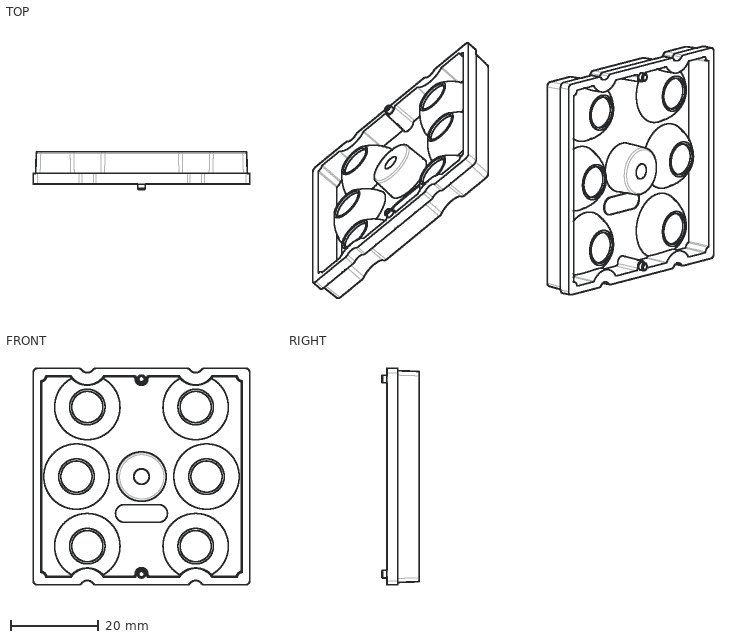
import cadquery as cq
import math

side = 49.8
flange_depth = 2.5
total_depth = 7.45
corner_radius = 1.0
draft = 2.0

body_side = 48.7
back_edge_radius = 0.35

wall = 1.75
floor_thickness = 1.5
pocket_depth = total_depth - floor_thickness
pocket_half = side / 2 - wall
pocket_corner_post_radius = 1.15
pocket_blend = 0.25

notch_x = 12.45
notch_z = 25.55
flange_notch_radius = 1.65
body_notch_radius = 3.5
pocket_notch_radius = 4.5
flange_notch_blend = 0.8
body_notch_blend = 1.0

pin_z = 22.4
pin_radius = 0.9
pin_height = 1.25
pin_chamfer = 0.25
post_radius = 1.25
post_blend = 0.5

outer_dome_z = 16.0
middle_dome_x = 14.95
dome_centres = [(sx * notch_x, sz * outer_dome_z) for sx in (-1, 1) for sz in (-1, 1)]
dome_centres += [(-middle_dome_x, 0), (middle_dome_x, 0)]
dome_base_radius = 7.5
dome_top_radius = 4.1
dome_top_y = 1.0
dome_flank_radius = 11.45
dome_recess_radius = 3.6
dome_recess_depth = 0.6

hub_radius = 5.5
hub_edge_radius = 0.4
hole_radius = 1.75

label_length = 11.95
label_width = 4.1
label_depth = 0.2
label_z = -8.45

notch_axes = [(sx * notch_x, sz * notch_z) for sx in (-1, 1) for sz in (-1, 1)]
pin_axes = [(0, pin_z), (0, -pin_z)]

overlap = 0.25
edge_search = 0.6


def plane_at(y):
    """Sketch plane at depth y whose extrusions go toward +Y and whose local y is Z."""
    return cq.Workplane(cq.Plane(origin=(0, y, 0), xDir=(-1, 0, 0), normal=(0, 1, 0)))


def cylinders(centres, radius, y, depth, taper=0.0):
    """Cylinders from y to y + depth; a negative taper widens them with depth."""
    return plane_at(y).pushPoints(centres).circle(radius).extrude(depth, taper=taper)


def depth_edges(solid, points):
    """Edges of a solid that start near the given (x, z) points and run through its depth."""
    boxes = [
        cq.selectors.BoxSelector(
            (x - edge_search, 0, z - edge_search),
            (x + edge_search, total_depth, z + edge_search),
        )
        for x, z in points
    ]
    chosen = boxes[0]
    for box in boxes[1:]:
        chosen = chosen + box
    return solid.edges(chosen).edges("not #Y")


def arc_corners(centres, radius, edge_z):
    """Points where circles around the centres cross the lines z = +-edge_z."""
    points = []
    for x, z in centres:
        half = math.sqrt(radius**2 - (abs(z) - edge_z) ** 2)
        for side_sign in (-1, 1):
            points.append((x + side_sign * half, math.copysign(edge_z, z)))
    return points


def square_corners(half):
    return [(sx * half, sz * half) for sx in (-1, 1) for sz in (-1, 1)]


def make_flange():
    flange = plane_at(0).rect(side, side).extrude(flange_depth)
    flange = flange.edges("|Y").fillet(corner_radius)
    flange = flange.cut(cylinders(notch_axes, flange_notch_radius, 0, flange_depth))
    lips = arc_corners(notch_axes, flange_notch_radius, side / 2)
    return depth_edges(flange, lips).fillet(flange_notch_blend)


def make_body():
    depth = total_depth - flange_depth
    body = plane_at(flange_depth).rect(body_side, body_side).extrude(depth, taper=draft)
    body = depth_edges(body, square_corners(body_side / 2)).fillet(corner_radius)
    body = body.cut(cylinders(notch_axes, body_notch_radius, flange_depth, depth, -draft))
    lips = arc_corners(notch_axes, body_notch_radius, body_side / 2)
    body = depth_edges(body, lips).fillet(body_notch_blend)
    return body.faces(">Y").edges().fillet(back_edge_radius)


def make_pocket():
    pocket = plane_at(0).rect(2 * pocket_half, 2 * pocket_half).extrude(pocket_depth, taper=draft)
    corners = square_corners(pocket_half)
    pocket = pocket.cut(cylinders(corners, pocket_corner_post_radius, 0, pocket_depth, -draft))
    pocket = pocket.cut(cylinders(notch_axes, pocket_notch_radius, 0, pocket_depth, -draft))
    pocket = pocket.cut(cylinders(pin_axes, post_radius, 0, pocket_depth, -draft))

    reach = pocket_corner_post_radius
    post_lips = [
        point
        for x, z in corners
        for point in ((x - math.copysign(reach, x), z), (x, z - math.copysign(reach, z)))
    ]
    notch_lips = arc_corners(notch_axes, pocket_notch_radius, pocket_half)
    pocket = depth_edges(pocket, post_lips + notch_lips).fillet(pocket_blend)
    pin_lips = arc_corners(pin_axes, post_radius, pocket_half)
    return depth_edges(pocket, pin_lips).fillet(post_blend)


def make_dome():
    """Domed boss on the Y axis, revolved from its (depth, radius) profile."""
    rise = pocket_depth - dome_top_y
    run = dome_base_radius - dome_top_radius
    chord = math.hypot(rise, run)
    bulge = dome_flank_radius - math.sqrt(dome_flank_radius**2 - (chord / 2) ** 2)
    mid_radius = (dome_base_radius + dome_top_radius) / 2 + bulge * rise / chord
    mid_y = (pocket_depth + dome_top_y) / 2 - bulge * run / chord
    recess_y = dome_top_y + dome_recess_depth
    return (
        cq.Workplane("YZ")
        .moveTo(recess_y, 0)
        .lineTo(recess_y, dome_recess_radius)
        .lineTo(dome_top_y, dome_recess_radius)
        .lineTo(dome_top_y, dome_top_radius)
        .threePointArc((mid_y, mid_radius), (pocket_depth, dome_base_radius))
        .lineTo(pocket_depth, 0)
        .close()
        .revolve(360, (0, 0, 0), (1, 0, 0))
    )


def make_hub():
    hub = cylinders([(0, 0)], hub_radius, 0, pocket_depth + overlap, -draft)
    return hub.faces("<Y").edges().fillet(hub_edge_radius)


def make_pins():
    pins = cylinders(pin_axes, pin_radius, -pin_height, pin_height + overlap)
    return pins.faces("<Y").edges().chamfer(pin_chamfer)


def make_label_recess():
    panel = plane_at(pocket_depth).center(0, label_z)
    return panel.slot2D(label_length, label_width).extrude(label_depth)


result = make_flange().union(make_body())
pocket = make_pocket()
result = result.cut(pocket)

dome = make_dome()
for x, z in dome_centres:
    result = result.union(dome.translate((x, 0, z)).intersect(pocket))

for feature in (make_hub(), make_pins()):
    result = result.union(feature)
result = result.cut(cylinders([(0, 0)], hole_radius, 0, total_depth))
result = result.cut(make_label_recess())